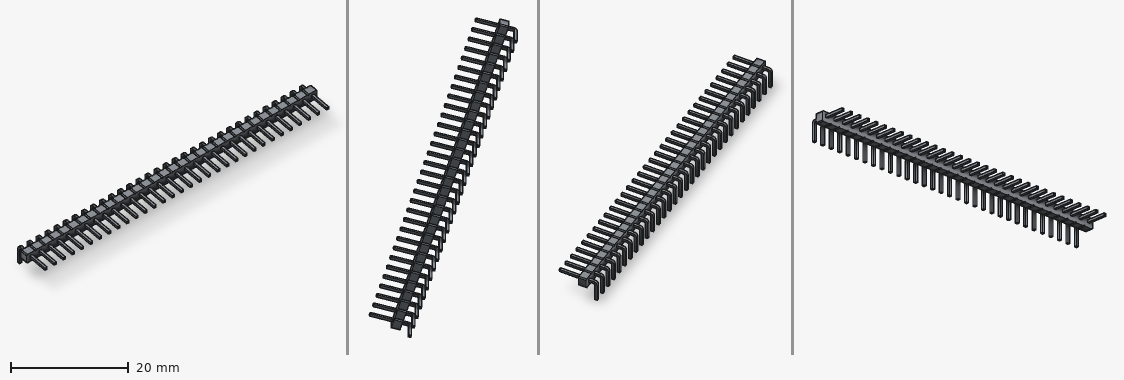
import cadquery as cq


strip_length = 64.0
total_width = 7.4
total_height = 4.7

pin_count = 32
pitch = strip_length / pin_count
body_width = 1.55
body_height = 2.0
body_chamfer = 0.2
body_left = 1.7
body_bottom = total_height - body_height

pin_size = 0.5
pin_inset = 0.6
pin_top = total_height - pin_inset
bend_inner_radius = 0.15
bend_outer_radius = bend_inner_radius + pin_size
tip_chamfer = 0.1

pin_positions = [(i - (pin_count - 1) / 2) * pitch for i in range(pin_count)]


def segment_profile(y_center):
    """YZ outline points of one segment, going round from its lower left corner."""
    left = y_center - pitch / 2
    right = y_center + pitch / 2
    return [
        (left, body_bottom + body_chamfer),
        (left + body_chamfer, body_bottom),
        (right - body_chamfer, body_bottom),
        (right, body_bottom + body_chamfer),
        (right, total_height - body_chamfer),
        (right - body_chamfer, total_height),
        (left + body_chamfer, total_height),
        (left, total_height - body_chamfer),
    ]


def make_strip():
    """The plastic body: V-scored between segments on top and bottom, bevelled at both ends."""
    bottom_points = []
    top_points = []
    for y in pin_positions:
        profile = segment_profile(y)
        bottom_points += profile[:3]
        top_points += reversed(profile[5:])
    end_points = segment_profile(pin_positions[-1])[3:5]
    outline = bottom_points + end_points + top_points[::-1]
    start_plane = cq.Workplane("YZ").workplane(offset=body_left)
    return start_plane.polyline(outline).close().extrude(body_width)


def make_pin():
    """A square pin with a rounded elbow and bevelled tips, centred on Y = 0."""
    bent_bar = (
        cq.Workplane("XZ")
        .moveTo(0, 0)
        .lineTo(0, pin_top - bend_outer_radius)
        .radiusArc((bend_outer_radius, pin_top), bend_outer_radius)
        .lineTo(total_width, pin_top)
        .lineTo(total_width, pin_top - pin_size)
        .lineTo(bend_outer_radius, pin_top - pin_size)
        .radiusArc((pin_size, pin_top - bend_outer_radius), -bend_inner_radius)
        .lineTo(pin_size, 0)
        .close()
        .extrude(pin_size / 2, both=True)
    )
    return bent_bar.faces("<Z or >X").chamfer(tip_chamfer)


pin = make_pin().val()
pins = cq.Workplane("XY").pushPoints([(0, y) for y in pin_positions]).eachpoint(
    lambda location: pin.moved(location), combine=False
)

result = make_strip().union(pins)